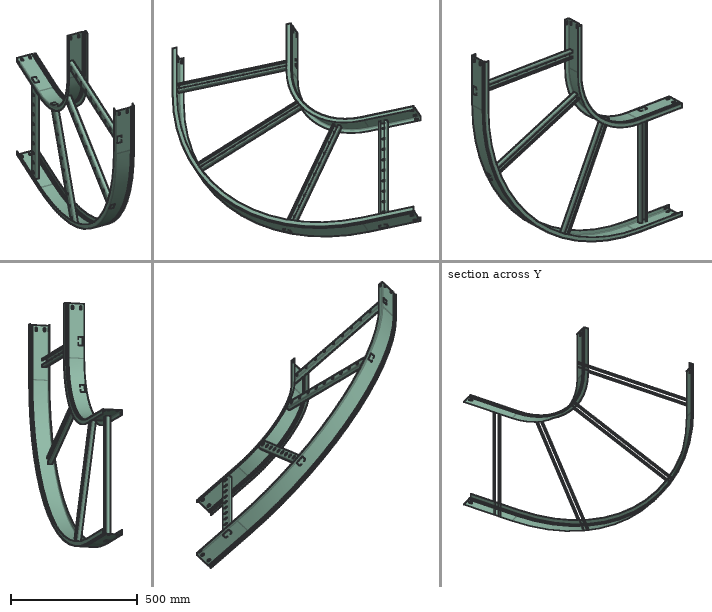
import cadquery as cq
import math

RIGHT_ANGLE = 90

OVERALL = 1017.0
LADDER_WIDTH = 500.0
LEG = 219.0
OUTER_RADIUS = OVERALL - LEG
INNER_RADIUS = OUTER_RADIUS - LADDER_WIDTH

SHEET = 1.2
RAIL_HEIGHT = 80.0
FLANGE = 19.0
BEND = 2.5
BEAD_TO_BACK = 9.7
BEAD_HALF_MOUTH = 5.6
BEAD_HALF_FLOOR = 1.5
BEAD_DEPTH = 3.6

SLOT_LENGTH = 14.0
SLOT_WIDTH = 7.0
END_SLOT_INSET = 17.0
FLANGE_SLOT_DEPTH = 10.0
WEB_SLOT_HEIGHTS = (15.0, 50.0)

RUNG_WIDTH = 36.0
RUNG_DEPTH = 19.0
RUNG_FRONT = 7.0
RUNG_LIP = 10.0
RUNG_TO_END = 151.0
RUNG_ANGLE = 25.0
RUNG_SLOT_COUNT = 10
RUNG_SLOT_PITCH = 50.0


def slot_cutter(plane, depth, angle):
    """A slot reaching the given depth to both sides of the plane, centred on its origin."""
    return cq.Workplane(plane).slot2D(SLOT_LENGTH, SLOT_WIDTH, angle).extrude(depth, both=True)


def rail_section(radius, inward):
    """Channel section at the top rail end; its flanges point along X in the inward direction."""
    bead_y = RAIL_HEIGHT - BEAD_TO_BACK
    bead_slope = math.atan2(BEAD_DEPTH, BEAD_HALF_MOUTH - BEAD_HALF_FLOOR)
    corner_shift = SHEET * math.tan(bead_slope / 2)
    inner_mouth = BEAD_HALF_MOUTH + corner_shift
    inner_floor = BEAD_HALF_FLOOR + corner_shift
    inner_bend = BEND - SHEET
    bend_mid = 1 - math.sqrt(0.5)

    def at(depth, y):
        return (radius + inward * depth, y)

    back_in = RAIL_HEIGHT - SHEET
    outer_mid = BEND * bend_mid
    inner_mid = SHEET + inner_bend * bend_mid
    return (
        cq.Workplane("XY", origin=(0, 0, LEG))
        .moveTo(*at(FLANGE, 0))
        .lineTo(*at(BEND, 0))
        .threePointArc(at(outer_mid, outer_mid), at(0, BEND))
        .lineTo(*at(0, bead_y - BEAD_HALF_MOUTH))
        .lineTo(*at(BEAD_DEPTH, bead_y - BEAD_HALF_FLOOR))
        .lineTo(*at(BEAD_DEPTH, bead_y + BEAD_HALF_FLOOR))
        .lineTo(*at(0, bead_y + BEAD_HALF_MOUTH))
        .lineTo(*at(0, RAIL_HEIGHT - BEND))
        .threePointArc(at(outer_mid, RAIL_HEIGHT - outer_mid), at(BEND, RAIL_HEIGHT))
        .lineTo(*at(FLANGE, RAIL_HEIGHT))
        .lineTo(*at(FLANGE, back_in))
        .lineTo(*at(BEND, back_in))
        .threePointArc(at(inner_mid, RAIL_HEIGHT - inner_mid), at(SHEET, RAIL_HEIGHT - BEND))
        .lineTo(*at(SHEET, bead_y + inner_mouth))
        .lineTo(*at(BEAD_DEPTH + SHEET, bead_y + inner_floor))
        .lineTo(*at(BEAD_DEPTH + SHEET, bead_y - inner_floor))
        .lineTo(*at(SHEET, bead_y - inner_mouth))
        .lineTo(*at(SHEET, BEND))
        .threePointArc(at(inner_mid, inner_mid), at(BEND, SHEET))
        .lineTo(*at(FLANGE, SHEET))
        .close()
    )


def rail(radius, inward):
    """Rail whose web has its outside face at the given radius."""
    arc_mid = radius * math.sqrt(0.5)
    path = (
        cq.Workplane("XZ")
        .moveTo(radius, LEG)
        .lineTo(radius, 0)
        .threePointArc((arc_mid, -arc_mid), (0, -radius))
        .lineTo(-LEG, -radius)
    )
    body = rail_section(radius, inward).sweep(path)

    slot_end = LEG - END_SLOT_INSET
    flange_slot = radius + inward * FLANGE_SLOT_DEPTH
    for x, z, angle in ((flange_slot, slot_end, RIGHT_ANGLE), (-slot_end, -flange_slot, 0)):
        plane = cq.Plane(origin=(x, 0, z), xDir=(1, 0, 0), normal=(0, -1, 0))
        body = body.cut(slot_cutter(plane, BEND, angle))
    for y in WEB_SLOT_HEIGHTS:
        upright = cq.Plane(origin=(radius, y, slot_end), xDir=(0, 1, 0), normal=(1, 0, 0))
        level = cq.Plane(origin=(-slot_end, y, -radius), xDir=(1, 0, 0), normal=(0, 0, 1))
        body = body.cut(slot_cutter(upright, BEND, RIGHT_ANGLE))
        body = body.cut(slot_cutter(level, BEND, 0))
    return body


def rung(start, end):
    """Rung along +X between two distances from the origin, centred on the X axis."""
    length = end - start
    block = (
        cq.Workplane("YZ", origin=(start, RUNG_FRONT + RUNG_DEPTH / 2, 0))
        .rect(RUNG_DEPTH, RUNG_WIDTH)
        .extrude(length)
        .edges("|X")
        .fillet(BEND)
    )
    hollow = (
        cq.Workplane("YZ", origin=(start, RUNG_FRONT + RUNG_DEPTH / 2, 0))
        .rect(RUNG_DEPTH - 2 * SHEET, RUNG_WIDTH - 2 * SHEET)
        .extrude(length)
        .edges("|X")
        .fillet(BEND - SHEET)
    )
    back_opening = (
        cq.Workplane("YZ", origin=(start, RUNG_FRONT + RUNG_DEPTH, 0))
        .rect(RUNG_DEPTH, RUNG_WIDTH - 2 * RUNG_LIP)
        .extrude(length)
    )
    body = block.cut(hollow).cut(back_opening)

    first_slot = (start + end - (RUNG_SLOT_COUNT - 1) * RUNG_SLOT_PITCH) / 2
    for i in range(RUNG_SLOT_COUNT):
        x = first_slot + i * RUNG_SLOT_PITCH
        plane = cq.Plane(origin=(x, RUNG_FRONT, 0), xDir=(1, 0, 0), normal=(0, -1, 0))
        body = body.cut(slot_cutter(plane, BEND, RIGHT_ANGLE))
    return body


inner_rail = rail(INNER_RADIUS, 1)
outer_rail = rail(OUTER_RADIUS, -1)

inner_web = INNER_RADIUS + SHEET
outer_web = OUTER_RADIUS - SHEET
bend_rung_end = math.sqrt(outer_web**2 - (RUNG_WIDTH / 2) ** 2)
leg_rung_offset = LEG - RUNG_TO_END

rungs = [rung(inner_web, outer_web).translate((0, 0, leg_rung_offset))]
for angle in (RUNG_ANGLE, RIGHT_ANGLE - RUNG_ANGLE):
    rungs.append(rung(inner_web, bend_rung_end).rotate((0, 0, 0), (0, 1, 0), angle))
rungs.append(
    rung(inner_web, outer_web)
    .rotate((0, 0, 0), (0, 1, 0), RIGHT_ANGLE)
    .translate((-leg_rung_offset, 0, 0))
)

result = cq.Compound.makeCompound([inner_rail.val(), outer_rail.val(), *[r.val() for r in rungs]])